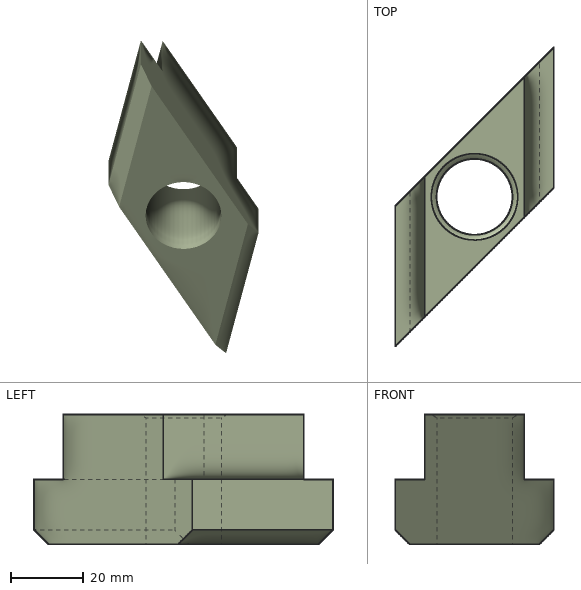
import cadquery as cq

width = 44.0
length = 83.0
height = 36.0

neck_width = 27.7
flange_height = 18.0
bottom_chamfer = 4.0

hole_diameter = 21.0
countersink_diameter = 24.0
countersink_angle = 120.0

half_width = width / 2
half_length = length / 2
side_length = length - width


def t_profile_bar():
    """Straight T-shaped bar, chamfered along its lower long edges."""
    flange = (
        cq.Workplane("XY")
        .box(width, length, flange_height, centered=(True, True, False))
        .edges("|Y and <Z")
        .chamfer(bottom_chamfer)
    )
    neck = cq.Workplane("XY").box(neck_width, length, height, centered=(True, True, False))
    return flange.union(neck)


def slanted_outline():
    """Parallelogram prism that trims both bar ends to 45 degrees."""
    return (
        cq.Workplane("XY")
        .moveTo(-half_width, -half_length)
        .lineTo(half_width, half_length - side_length)
        .lineTo(half_width, half_length)
        .lineTo(-half_width, side_length - half_length)
        .close()
        .extrude(height)
    )


def add_hole(body):
    """Bore the centre of the top face right through and countersink its rim."""
    return (
        body.faces(">Z")
        .workplane(origin=(0, 0, height))
        .cskHole(hole_diameter, countersink_diameter, countersink_angle)
    )


result = add_hole(t_profile_bar().intersect(slanted_outline()))